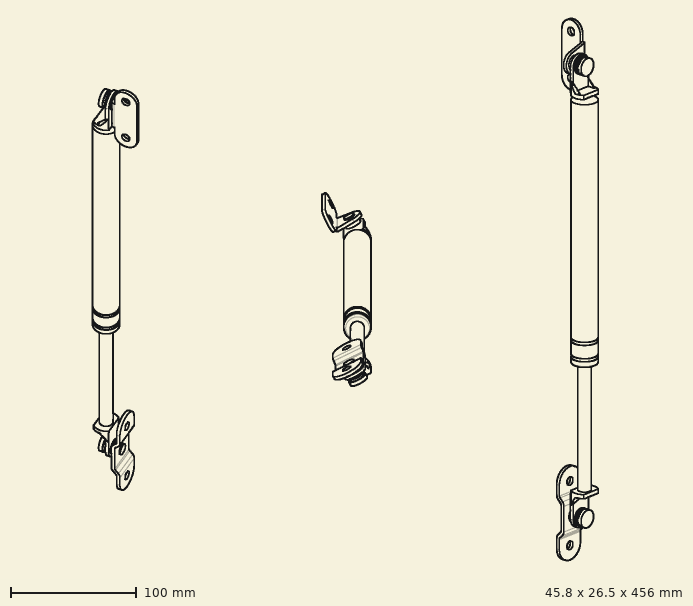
import cadquery as cq
import math

OVERALL_HEIGHT = 456.0
SHEET = 3.0

TUBE_RADIUS = 11.0
TUBE_BOTTOM = 172.5
TUBE_BOTTOM_ROUND = 1.5
TUBE_TOP_CHAMFER = 4.3
GROOVE_DEPTH = 0.4
GROOVE_WIDTH = 2.6
GROOVE_HEIGHTS = (6.5, 20.5)
ROD_RADIUS = 5.5
ROD_INSERTION = 20.0

PLATE_LENGTH = 60.0
PLATE_WIDTH = 20.0
PLATE_RIGHT = 34.75
PLATE_OUTER_Y = -14.0
PLATE_HOLE_SPACING = PLATE_LENGTH - PLATE_WIDTH
MOUNTING_HOLE_DIAMETER = 7.0
TAB_LENGTH = 26.5
TAB_END_RADIUS = 9.5
BEND_OUTER_RADIUS = 3.2
BEND_INNER_RADIUS = BEND_OUTER_RADIUS - SHEET

HAT_LENGTH = 80.0
HAT_WIDTH = 25.0
HAT_OFFSET = 4.75
HAT_WEB_HALF = 13.0
HAT_BEND_INNER_RADIUS = 2.0
HAT_BEND_OUTER_RADIUS = HAT_BEND_INNER_RADIUS + SHEET

EYE_BACK = 7.0
EYE_FRONT = EYE_BACK - SHEET
BRACKET_FACE = TUBE_RADIUS

PIN_HEAD_FRONT = -3.0
PIN_HEAD_BACK = 0.4
PIN_HEAD_RADIUS = 7.5
PIN_NECK_RADIUS = 6.5
PIN_FLANGE_RADIUS = 7.5
PIN_FLANGE_THICKNESS = 1.5
PIN_SHANK_RADIUS = 4.5
PIN_COLLAR_RADIUS = 6.5
PIN_TAIL_LENGTH = 1.0

FOOT_HALF_DEPTH = EYE_BACK
FOOT_THICKNESS = 3.7
EYE_TO_FOOT = 24.3
TONGUE_RADIUS = 9.0
TONGUE_CORNER_RADIUS = 3.0
GUSSET_INNER_Y = 8.5
GUSSET_RISE = 7.0
GUSSET_TAPER = 38.0

UPPER_PIN_Z = OVERALL_HEIGHT - PLATE_LENGTH / 2
LOWER_PIN_Z = HAT_LENGTH / 2
TUBE_TOP = UPPER_PIN_Z - EYE_TO_FOOT
ROD_BOTTOM = LOWER_PIN_Z + EYE_TO_FOOT


def cylinder_x(radius, start, end):
    """Cylinder along X, centred on Y = Z = 0."""
    return cq.Workplane("YZ").workplane(offset=start).circle(radius).extrude(end - start)


def box_between(x_range, y_range, z_range):
    corner = (x_range[0], y_range[0], z_range[0])
    size = [high - low for low, high in (x_range, y_range, z_range)]
    return cq.Workplane("XY").box(*size, centered=False).translate(corner)


def make_rod():
    length = TUBE_BOTTOM + ROD_INSERTION - ROD_BOTTOM
    return cq.Workplane("XY").workplane(offset=ROD_BOTTOM).circle(ROD_RADIUS).extrude(length)


def make_tube(rod):
    length = TUBE_TOP - TUBE_BOTTOM
    tube = cq.Workplane("XY").workplane(offset=TUBE_BOTTOM).circle(TUBE_RADIUS).extrude(length)
    tube = tube.faces(">Z").edges().chamfer(TUBE_TOP_CHAMFER)
    tube = tube.faces("<Z").edges().fillet(TUBE_BOTTOM_ROUND)
    for height in GROOVE_HEIGHTS:
        groove = (
            cq.Workplane("XY")
            .workplane(offset=TUBE_BOTTOM + height - GROOVE_WIDTH / 2)
            .circle(TUBE_RADIUS + 1)
            .circle(TUBE_RADIUS - GROOVE_DEPTH)
            .extrude(GROOVE_WIDTH)
        )
        tube = tube.cut(groove)
    return tube.cut(rod)


def make_pin():
    """Headed pin along X, centred on Y = Z = 0."""
    tail_end = BRACKET_FACE + SHEET + PIN_TAIL_LENGTH
    pin = cylinder_x(PIN_HEAD_RADIUS, PIN_HEAD_FRONT, PIN_HEAD_BACK)
    pin = pin.union(cylinder_x(PIN_NECK_RADIUS, PIN_HEAD_BACK, EYE_FRONT))
    pin = pin.union(cylinder_x(PIN_FLANGE_RADIUS, EYE_FRONT - PIN_FLANGE_THICKNESS, EYE_FRONT))
    pin = pin.union(cylinder_x(PIN_COLLAR_RADIUS, EYE_BACK, BRACKET_FACE))
    return pin.union(cylinder_x(PIN_SHANK_RADIUS, PIN_HEAD_BACK, tail_end))


def make_end_fitting():
    """Upper end fitting with its eye centred on Y = Z = 0 and its foot below."""
    foot_bottom = -EYE_TO_FOOT
    foot_top = foot_bottom + FOOT_THICKNESS
    depth_range = (-FOOT_HALF_DEPTH, FOOT_HALF_DEPTH)
    width_range = (-TUBE_RADIUS, TUBE_RADIUS)

    disc = cq.Workplane("XY").workplane(offset=foot_bottom).circle(TUBE_RADIUS).extrude(EYE_TO_FOOT)
    envelope = disc.intersect(box_between(depth_range, width_range, (foot_bottom, 0)))
    foot = envelope.intersect(box_between(depth_range, width_range, (foot_bottom, foot_top)))

    tongue = box_between((EYE_FRONT, EYE_BACK), (-TONGUE_RADIUS, TONGUE_RADIUS), (foot_bottom, 0))
    tongue = tongue.edges("|X and <Z").fillet(TONGUE_CORNER_RADIUS)
    tongue = tongue.union(cylinder_x(TONGUE_RADIUS, EYE_FRONT, EYE_BACK))

    corner_x = 2 * FOOT_HALF_DEPTH
    corner_z = 2 * foot_bottom
    slope_offset = foot_top + GUSSET_RISE - EYE_FRONT
    gusset = (
        cq.Workplane("XZ", origin=(0, -GUSSET_INNER_Y, 0))
        .moveTo(corner_x, corner_z)
        .lineTo(corner_x, corner_x + slope_offset)
        .lineTo(corner_z - slope_offset, corner_z)
        .close()
        .extrude(TUBE_RADIUS - GUSSET_INNER_Y, taper=GUSSET_TAPER)
        .intersect(envelope)
    )

    fitting = foot.union(tongue).union(gusset).union(gusset.mirror("XZ"))
    return fitting.cut(cylinder_x(PIN_SHANK_RADIUS, EYE_FRONT, EYE_BACK))


def make_angle_bracket():
    """Upper bracket with its pin hole centred on Y = Z = 0."""
    plate_inner_y = PLATE_OUTER_Y + SHEET
    plate_centre_x = PLATE_RIGHT - PLATE_WIDTH / 2
    plate = (
        cq.Workplane("XZ", origin=(plate_centre_x, plate_inner_y, 0))
        .slot2D(PLATE_LENGTH, PLATE_WIDTH, 90)
        .extrude(SHEET)
    )

    tab_back = BRACKET_FACE + SHEET
    angle = (
        cq.Workplane("XY", origin=(0, 0, -TAB_LENGTH / 2))
        .moveTo(BRACKET_FACE, TAB_END_RADIUS)
        .lineTo(BRACKET_FACE, PLATE_OUTER_Y)
        .lineTo(plate_centre_x, PLATE_OUTER_Y)
        .lineTo(plate_centre_x, plate_inner_y)
        .lineTo(tab_back, plate_inner_y)
        .lineTo(tab_back, TAB_END_RADIUS)
        .close()
        .extrude(TAB_LENGTH)
    )
    outer_bend = cq.selectors.NearestToPointSelector((BRACKET_FACE, PLATE_OUTER_Y, 0))
    angle = angle.edges(outer_bend).fillet(BEND_OUTER_RADIUS)
    inner_bend = cq.selectors.NearestToPointSelector((tab_back, plate_inner_y, 0))
    angle = angle.edges(inner_bend).fillet(BEND_INNER_RADIUS)

    corner_y = plate_inner_y
    corner_z = TAB_LENGTH / 2
    corner_distance = math.hypot(corner_y, corner_z)
    touch_angle = math.atan2(corner_z, corner_y) - math.acos(TAB_END_RADIUS / corner_distance)
    touch_y = TAB_END_RADIUS * math.cos(touch_angle)
    touch_z = TAB_END_RADIUS * math.sin(touch_angle)
    outline = (
        cq.Workplane("YZ")
        .moveTo(PLATE_OUTER_Y, -corner_z)
        .lineTo(corner_y, -corner_z)
        .lineTo(touch_y, -touch_z)
        .threePointArc((TAB_END_RADIUS, 0), (touch_y, touch_z))
        .lineTo(corner_y, corner_z)
        .lineTo(PLATE_OUTER_Y, corner_z)
        .close()
        .extrude(PLATE_RIGHT)
    )

    mounting_holes = (
        cq.Workplane("XZ", origin=(plate_centre_x, plate_inner_y, 0))
        .pushPoints([(0, -PLATE_HOLE_SPACING / 2), (0, PLATE_HOLE_SPACING / 2)])
        .circle(MOUNTING_HOLE_DIAMETER / 2)
        .extrude(SHEET)
    )
    bracket = plate.union(angle.intersect(outline)).cut(mounting_holes)
    return bracket.cut(cylinder_x(PIN_SHANK_RADIUS, BRACKET_FACE, tab_back))


def make_hat_bracket():
    """Lower bracket with its pin hole centred on Y = Z = 0."""
    half_length = HAT_LENGTH / 2
    flat_face = BRACKET_FACE + HAT_OFFSET
    back_shift = SHEET * math.tan(math.radians(45 / 2))
    front_web = HAT_WEB_HALF
    front_flat = front_web + HAT_OFFSET
    back_web = front_web - back_shift
    back_flat = front_flat - back_shift
    web_back = BRACKET_FACE + SHEET
    flat_back = flat_face + SHEET
    front = [
        (flat_face, -half_length),
        (flat_face, -front_flat),
        (BRACKET_FACE, -front_web),
        (BRACKET_FACE, front_web),
        (flat_face, front_flat),
        (flat_face, half_length),
    ]
    back = [
        (flat_back, half_length),
        (flat_back, back_flat),
        (web_back, back_web),
        (web_back, -back_web),
        (flat_back, -back_flat),
        (flat_back, -half_length),
    ]
    hat = cq.Workplane("XZ").polyline(front + back).close().extrude(HAT_WIDTH / 2, both=True)
    bends = [
        (BRACKET_FACE, front_web, HAT_BEND_OUTER_RADIUS),
        (flat_back, back_flat, HAT_BEND_OUTER_RADIUS),
        (web_back, back_web, HAT_BEND_INNER_RADIUS),
        (flat_face, front_flat, HAT_BEND_INNER_RADIUS),
    ]
    for x, z, radius in bends:
        for side in (-1, 1):
            corner = cq.selectors.NearestToPointSelector((x, 0, side * z))
            hat = hat.edges(corner).fillet(radius)

    outline = cq.Workplane("YZ").slot2D(HAT_LENGTH, HAT_WIDTH, 90).extrude(flat_back)
    hole_z = (HAT_LENGTH - HAT_WIDTH) / 2
    mounting_holes = (
        cq.Workplane("YZ")
        .pushPoints([(0, -hole_z), (0, hole_z)])
        .circle(MOUNTING_HOLE_DIAMETER / 2)
        .extrude(flat_back)
    )
    hat = hat.intersect(outline).cut(mounting_holes)
    return hat.cut(cylinder_x(PIN_SHANK_RADIUS, BRACKET_FACE, web_back))


rod = make_rod()
tube = make_tube(rod)
pins = [make_pin().translate((0, 0, z)) for z in (LOWER_PIN_Z, UPPER_PIN_Z)]
upper_fitting = make_end_fitting().translate((0, 0, UPPER_PIN_Z))
lower_fitting = make_end_fitting().mirror("XY").translate((0, 0, LOWER_PIN_Z))
angle_bracket = make_angle_bracket().translate((0, 0, UPPER_PIN_Z))
hat_bracket = make_hat_bracket().translate((0, 0, LOWER_PIN_Z))

bodies = [tube, rod, upper_fitting, lower_fitting, angle_bracket, hat_bracket, *pins]
result = cq.Compound.makeCompound([body.val() for body in bodies])